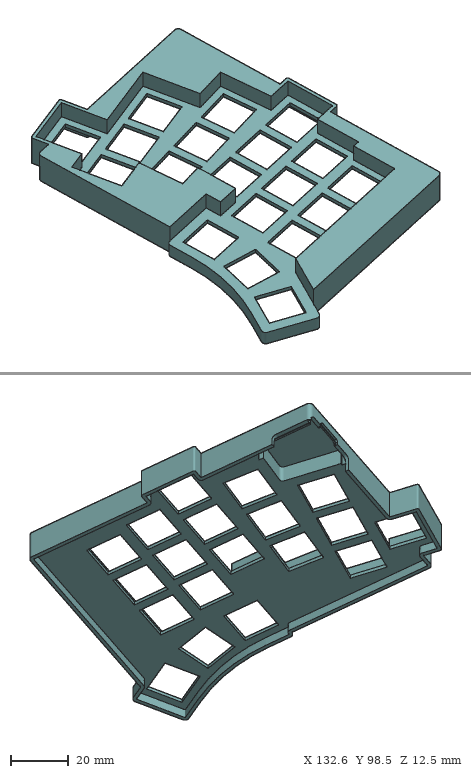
import cadquery as cq
import math

case_height = 12.5
plate_top = 5.6
plate_bottom = 4.0

key_hole = 13.8
column_pitch = 18.0
row_pitch = 17.0
rows = 3
well_half_width = 9.8
well_half_depth = 9.4
column_half_depth = (rows - 1) / 2 * row_pitch + well_half_depth
gap_width = 3.0
wall = 1.3

body_left, body_right = -55.9, 60.8
body_front, body_back = -33.8, 45.3
corner_radius = 1.6
tab_radius = 0.7

middle_x, middle_y = 0.5, 21.6
inner_drop = 2.7
middle_column = (middle_x, middle_y, 0)
ring_column = (middle_x + column_pitch, middle_y - row_pitch / 2, 0)
inner_column = (middle_x + 2 * column_pitch, middle_y - row_pitch / 2 - inner_drop, 0)
index_column = (-18.8, 11.4, 4)
outer_column = (-37.5, -3.8, 10)
columns = [middle_column, ring_column, inner_column, index_column, outer_column]

side_key_offset = (-column_pitch, -9.5)

thumb_x, thumb_y = 13.3, -24.5
thumb_half_width = 10.9
thumb_half_depth = 10.9
thumb_step = 15
thumb_edge_radius = 66.6
thumb_fan_radius = thumb_edge_radius + thumb_half_depth
thumb_centre_y = thumb_y - thumb_fan_radius
thumb_tilts = [0, -thumb_step, -2 * thumb_step]

bay_top = 11.2
bay_front = 20.7
bay_right = -29.9
bay_back = 43.0
bay_radius = 6.6
bay_corner_radius = 1.3

port_top = 6.5
port_back = 44.5
port_radius = 1.6
plug_top = 8.6
plug_front, plug_back = 27.7, 38.4
plug_chamfer = 0.8
plug_lip = 0.4
jack_top = 4.2
jack_width = 15.9
opening_depth = 1.6


def rotated(x, y, degrees):
    angle = math.radians(degrees)
    return (
        x * math.cos(angle) - y * math.sin(angle),
        x * math.sin(angle) + y * math.cos(angle),
    )


def placed(place, x, y):
    """Point (x, y) of a tilted frame, in part coordinates."""
    dx, dy = rotated(x, y, place[2])
    return (place[0] + dx, place[1] + dy)


def span_block(x_min, x_max, y_min, y_max, bottom, top):
    size = (x_max - x_min, y_max - y_min, top - bottom)
    return cq.Workplane("XY").box(*size, centered=False).translate((x_min, y_min, bottom))


def tilted_block(place, half_width, half_depth, bottom, top):
    block = span_block(-half_width, half_width, -half_depth, half_depth, 0, top - bottom)
    return block.rotate((0, 0, 0), (0, 0, 1), place[2]).translate((place[0], place[1], bottom))


def thumb_place(tilt):
    dx, dy = rotated(0, thumb_fan_radius, tilt)
    return (thumb_x + dx, thumb_centre_y + dy, tilt)


def column_block(place, margin, bottom, top):
    return tilted_block(place, well_half_width + margin, column_half_depth + margin, bottom, top)


def gap_filler(place, margin, bottom, top):
    """Widens the two back rows of a tilted column to meet the next column."""
    half_width = well_half_width / 2
    half_depth = (column_half_depth + margin + row_pitch / 2) / 2
    centre = placed(place, well_half_width + gap_width - half_width, half_depth - row_pitch / 2)
    return tilted_block((*centre, place[2]), half_width, half_depth, bottom, top)


side_key = (*placed(outer_column, *side_key_offset), outer_column[2])


def side_key_block(margin, bottom, top):
    return tilted_block(side_key, well_half_width + margin, well_half_depth + margin, bottom, top)


def thumb_block(bottom, top):
    """Thumb cluster: a curved front edge between the first and the last thumb key."""
    last_tilt = thumb_tilts[-1]
    last = thumb_place(last_tilt)
    left = thumb_x - thumb_half_width
    arc_points = []
    for tilt in thumb_tilts:
        dx, dy = rotated(0, thumb_edge_radius, tilt)
        arc_points.append((thumb_x + dx, thumb_centre_y + dy))
    inner_right = inner_column[0] + well_half_width
    angle = math.radians(last_tilt)
    along = (inner_right - last[0] + thumb_half_depth * math.sin(angle)) / math.cos(angle)
    back_left = ring_column[1] - row_pitch - well_half_depth
    outline = (
        cq.Workplane("XY", origin=(0, 0, bottom))
        .moveTo(left, back_left)
        .lineTo(left, arc_points[0][1])
        .lineTo(*arc_points[0])
        .threePointArc(arc_points[1], arc_points[2])
        .lineTo(*placed(last, thumb_half_width, -thumb_half_depth))
        .lineTo(*placed(last, thumb_half_width, thumb_half_depth))
        .lineTo(*placed(last, along, thumb_half_depth))
        .lineTo(inner_right, back_left)
        .close()
    )
    block = outline.extrude(top - bottom)
    block = block.edges("|Z").edges(">X").fillet(corner_radius)
    block = block.edges("|Z").edges("<Y").fillet(corner_radius)
    return block.edges("|Z").edges("<X").edges("<Y").fillet(corner_radius)


def wells(margin, bottom, top):
    """Joined recess round the columns and the side key, grown outwards by the margin."""
    block = side_key_block(margin, bottom, top)
    for place in columns:
        block = block.union(column_block(place, margin, bottom, top))
    for place in [index_column, outer_column]:
        block = block.union(gap_filler(place, margin, bottom, top))
    return block


def body_block():
    body = span_block(body_left, body_right, body_front, body_back, 0, case_height)
    return body.edges("|Z").fillet(corner_radius)


def outer_block():
    """Solid case outline: full height except over the lower thumb cluster."""
    back_tab = column_block(middle_column, wall, 0, case_height).edges("|Z").fillet(tab_radius)
    side_tab = side_key_block(wall, 0, case_height).edges("|Z").fillet(tab_radius)
    raised = body_block().union(back_tab).union(side_tab).cut(thumb_block(plate_top, case_height))
    return raised.union(thumb_block(0, plate_top))


def circuit_board_cavity(case):
    outline = case.faces("<Z").wires().toPending()
    return outline.offset2D(-wall).extrude(plate_bottom, combine=False)


def key_holes():
    places = [side_key] + [thumb_place(tilt) for tilt in thumb_tilts]
    for place in columns:
        for row in range(rows):
            y = (row - (rows - 1) / 2) * row_pitch
            places.append((*placed(place, 0, y), place[2]))
    holes = tilted_block(places[0], key_hole / 2, key_hole / 2, 0, case_height)
    for place in places[1:]:
        holes = holes.union(tilted_block(place, key_hole / 2, key_hole / 2, 0, case_height))
    return holes


def controller_bay():
    bay = span_block(body_left + wall, bay_right, bay_front, bay_back, plate_bottom, bay_top)
    bay = bay.edges("|Z").edges(">X and >Y").fillet(bay_radius)
    bay = bay.cut(wells(wall, plate_bottom, bay_top))
    corner = placed(outer_column, well_half_width, column_half_depth + wall)
    nearest = cq.selectors.NearestToPointSelector((*corner, (plate_bottom + bay_top) / 2))
    return bay.edges("|Z").edges(nearest).fillet(bay_corner_radius)


def plug_cutout(lip, x_min, x_max):
    cutout = span_block(x_min, x_max, plug_front + lip, plug_back - lip, 0, plug_top - lip)
    return cutout.edges("|X and >Z").chamfer(plug_chamfer)


def port_openings():
    """Left wall opening with its raised plug cutout, and the jack opening in the back wall."""
    left_inside = body_left + opening_depth
    port = span_block(body_left, left_inside, bay_front, port_back, 0, port_top)
    port = port.edges("|X and >Z").fillet(port_radius)
    lip_depth = opening_depth / 2
    plug = plug_cutout(0, body_left, body_left + lip_depth).union(plug_cutout(plug_lip, body_left, left_inside))
    jack = span_block(body_left, body_left + jack_width, body_back - opening_depth, body_back, 0, jack_top)
    jack = jack.edges("|Y and >X and >Z").fillet(corner_radius)
    return port.union(plug).union(jack)


outer = outer_block()
result = (
    outer.cut(circuit_board_cavity(outer))
    .cut(wells(0, plate_top, case_height))
    .cut(key_holes())
    .cut(controller_bay())
    .cut(port_openings())
)